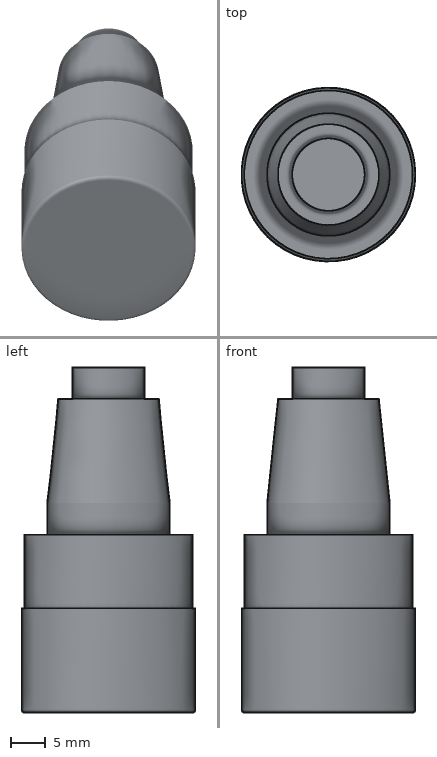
import cadquery as cq

base_diameter = 25.0
base_height = 15.0
base_edge_radius = 0.5

barrel_diameter = 24.16
barrel_height = 10.6
collar_diameter = 17.65
collar_height = 4.5
taper_top_diameter = 14.5
taper_height = 15.0
stub_diameter = 10.4
stub_height = 4.5

barrel_top = base_height + barrel_height
collar_top = barrel_top + collar_height
taper_top = collar_top + taper_height
stub_top = taper_top + stub_height


def make_base():
    """Round base standing on Z = 0."""
    cylinder = cq.Workplane("XY").circle(base_diameter / 2).extrude(base_height)
    return cylinder.faces("<Z").edges().fillet(base_edge_radius)


def make_nozzle():
    """Stepped nozzle, revolved about Z, standing on top of the base."""
    half_profile = (
        cq.Workplane("XZ")
        .moveTo(0, base_height)
        .lineTo(barrel_diameter / 2, base_height)
        .lineTo(barrel_diameter / 2, barrel_top)
        .lineTo(collar_diameter / 2, barrel_top)
        .lineTo(collar_diameter / 2, collar_top)
        .lineTo(taper_top_diameter / 2, taper_top)
        .lineTo(stub_diameter / 2, taper_top)
        .lineTo(stub_diameter / 2, stub_top)
        .lineTo(0, stub_top)
        .close()
    )
    return half_profile.revolve(360, (0, 0, 0), (0, 1, 0))


base = make_base()
nozzle = make_nozzle()

result = cq.Compound.makeCompound([base.val(), nozzle.val()])